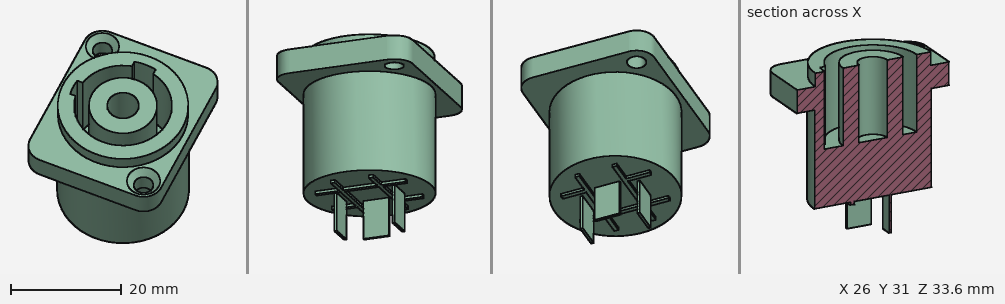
import cadquery as cq


barrel_height = 19.1
flange_thickness = 4.6
collar_height = 2.6
flange_top = barrel_height + flange_thickness
collar_top = flange_top + collar_height

barrel_diameter = 23.9
collar_diameter = 23.6
flange_width = 26.0
flange_length = 31.0
flange_corner_radius = 3.5

mount_x = flange_width / 2 - flange_corner_radius
mount_y = flange_length / 2 - flange_corner_radius
mount_hole_diameter = 3.5
countersink_diameter = 6.0
countersink_angle = 90.0

socket_diameter = 17.7
post_diameter = 12.3
bore_diameter = 5.7
socket_depth = 15.0

keyway_radius = 9.9
top_keyway_width = 4.2
side_keyway_width = 3.2

rib_height = 0.55
rib_thickness = 0.83
rib_span = 17.5
rib_x = 3.7
rib_y = 4.17
front_gap = 2 * rib_x - rib_thickness

blade_length = 7.3
blade_width = 4.9
blade_thickness = 0.5
side_blade_x = 5.65
front_blade_y = -3.5


def cylinder(diameter, bottom, top):
    """Upright cylinder on the part axis between two heights."""
    return cq.Workplane("XY").workplane(offset=bottom).circle(diameter / 2).extrude(top - bottom)


def hanging_block(x_size, y_size, drop, center=(0, 0)):
    """Rectangular block reaching down from the underside of the barrel."""
    return cq.Workplane("XY").center(*center).rect(x_size, y_size).extrude(-drop)


def make_body():
    flange = (
        cq.Workplane("XY")
        .workplane(offset=barrel_height)
        .rect(flange_width, flange_length)
        .extrude(flange_thickness)
        .edges("|Z")
        .fillet(flange_corner_radius)
    )
    barrel = cylinder(barrel_diameter, 0, flange_top)
    collar = cylinder(collar_diameter, barrel_height, collar_top)
    return barrel.union(flange).union(collar)


def cut_mounting_holes(body):
    return (
        body.copyWorkplane(cq.Workplane("XY", origin=(0, 0, flange_top)))
        .pushPoints([(-mount_x, mount_y), (mount_x, -mount_y)])
        .cskHole(mount_hole_diameter, countersink_diameter, countersink_angle, depth=flange_thickness)
    )


def make_socket():
    """Volume removed by the socket, its two keyways and the bore of the centre post."""
    floor = collar_top - socket_depth
    keyway_bars = (
        cq.Workplane("XY")
        .workplane(offset=floor)
        .center(0, keyway_radius / 2)
        .rect(top_keyway_width, keyway_radius)
        .extrude(socket_depth)
        .union(
            cq.Workplane("XY")
            .workplane(offset=floor)
            .center(-keyway_radius / 2, 0)
            .rect(keyway_radius, side_keyway_width)
            .extrude(socket_depth)
        )
    )
    keyways = keyway_bars.intersect(cylinder(2 * keyway_radius, floor, collar_top))
    ring = cylinder(socket_diameter, floor, collar_top).union(keyways)
    bore = cylinder(bore_diameter, floor, collar_top)
    return ring.cut(cylinder(post_diameter, floor, collar_top)).union(bore)


def make_ribs():
    """Two ribs along Y and two along X, the front one left open between the Y ribs for its blade."""
    ribs = hanging_block(rib_span, rib_thickness, rib_height, (0, rib_y))
    front_rib = hanging_block(rib_span, rib_thickness, rib_height, (0, -rib_y))
    opening = hanging_block(front_gap, rib_thickness, rib_height, (0, -rib_y))
    ribs = ribs.union(front_rib.cut(opening))
    for side in (-1, 1):
        ribs = ribs.union(hanging_block(rib_thickness, rib_span, rib_height, (side * rib_x, 0)))
    return ribs


def make_blades():
    blades = hanging_block(blade_width, blade_thickness, blade_length, (0, front_blade_y))
    for side in (-1, 1):
        blade = hanging_block(blade_thickness, blade_width, blade_length, (side * side_blade_x, 0))
        blades = blades.union(blade)
    return blades


body = cut_mounting_holes(make_body()).cut(make_socket())
result = body.union(make_ribs()).union(make_blades())